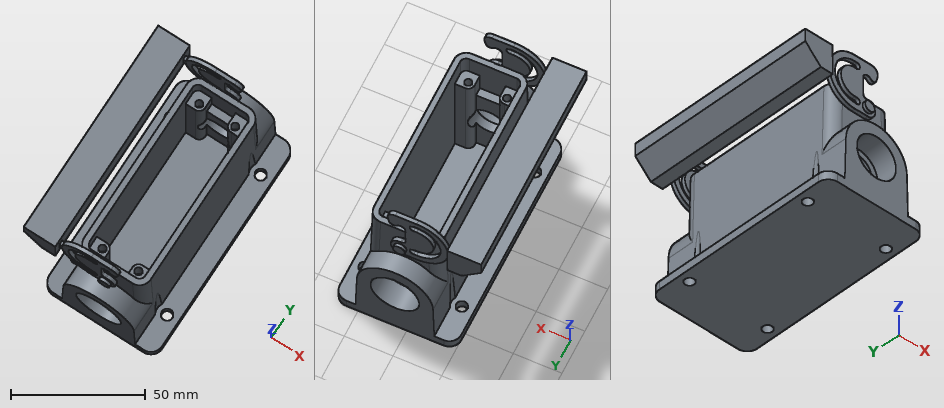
import cadquery as cq
import math

total_width = 59.5
total_height = 72.0
flange_width = 50.0
flange_length = 96.0
flange_height = 4.0
flange_corner_radius = 5.0
mount_hole_diameter = 4.6
mount_hole_x = 20.0
mount_hole_y = 32.0
washer_relief_radius = 4.4

housing_top = 57.0
housing_base_width = 32.4
housing_top_width = 29.5
housing_length = 80.0
housing_corner_radius = 5.0
wall = 2.5
cavity_corner_radius = housing_corner_radius - wall
cavity_width = housing_top_width - 2 * wall
cavity_length = housing_length - 2 * wall
cavity_floor = flange_height

entry_z = 23.2
entry_bore_diameter = 20.0
entry_bore_depth = 10.0
entry_hole_diameter = 14.0

post_x = 8.0
post_y = 33.0
post_radius = 2.7
post_top = 48.0
post_hole_diameter = 3.1
post_hole_depth = 10.0
ledge_face_y = 34.1

lever_radius = 13.0
lever_x = -6.5
lever_z = total_height - lever_radius
lever_plate_inner_y = 41.3
lever_plate_thickness = 1.8
eye_radius = 4.0
pivot_z = lever_z - lever_radius + eye_radius
lever_edge_x = -2.0
eye_fillet = 1.5
throat_radius = 2.0
throat_z = 63.8
lobe_radius = 1.8
lobe_angle = 40.0
nose_radius = 3.2
nose_x = 2.2
slot_outer_radius = 10.0
slot_inner_radius = 7.0
slot_end_x = lever_x + 1.2
tab_height = 4.0
pin_radius = 2.0
pin_head_radius = 2.5
pin_end_y = 44.5

grip_length = 92.0
grip_size = 14.0
grip_bevel = 8.0
grip_z = 60.0
grip_left = flange_width / 2 - total_width
grip_right = grip_left + grip_size

draft = math.atan2((housing_base_width - housing_top_width) / 2, housing_top - flange_height)
half_width_at_entry = housing_base_width / 2 - (entry_z - flange_height) * math.tan(draft)
entry_radius = half_width_at_entry * math.cos(draft)
ledge_top = entry_z + entry_radius


def on_circle(center, radius, degrees):
    """Point on a circle at an angle measured from the first axis."""
    angle = math.radians(degrees)
    return (center[0] + radius * math.cos(angle), center[1] + radius * math.sin(angle))


def extrude_along_y(outline, start_y, length):
    """Extrude a closed XZ outline from start_y toward +Y."""
    return outline.extrude(-length).translate((0, start_y, 0))


def both_ends(shape):
    """Join a shape with its mirror image across the XZ plane."""
    return shape.union(shape.mirror("XZ"))


def make_flange():
    return (
        cq.Workplane("XY")
        .rect(flange_width, flange_length)
        .extrude(flange_height)
        .edges("|Z")
        .fillet(flange_corner_radius)
    )


def make_housing():
    base = housing_base_width / 2
    top = housing_top_width / 2
    outline = (
        cq.Workplane("XZ")
        .moveTo(-base, flange_height)
        .lineTo(base, flange_height)
        .lineTo(top, housing_top)
        .lineTo(-top, housing_top)
        .close()
    )
    block = extrude_along_y(outline, -housing_length / 2, housing_length)
    return block.edges("not(|X or |Y)").fillet(housing_corner_radius)


def make_entry_block():
    """Arched block over the full length, its crown tangent to the drafted sides."""
    base = housing_base_width / 2
    side_degrees = math.degrees(draft)
    center = (0, entry_z)
    left_x, tangent_z = on_circle(center, entry_radius, 180 - side_degrees)
    outline = (
        cq.Workplane("XZ")
        .moveTo(-base, flange_height)
        .lineTo(left_x, tangent_z)
        .threePointArc((0, entry_z + entry_radius), (-left_x, tangent_z))
        .lineTo(base, flange_height)
        .close()
    )
    return extrude_along_y(outline, -flange_length / 2, flange_length)


def make_cavity():
    """Space inside the housing, leaving the corner posts and the end ledges standing."""
    cavity = (
        cq.Workplane("XY", origin=(0, 0, cavity_floor))
        .rect(cavity_width, cavity_length)
        .extrude(housing_top - cavity_floor)
        .edges("|Z")
        .fillet(cavity_corner_radius)
    )
    half_width = cavity_width / 2
    half_length = cavity_length / 2
    post_inner_x = post_x - post_radius
    post_inner_y = post_y - post_radius
    for side in (-1, 1):
        for end in (-1, 1):
            post = (
                cq.Workplane("XY", origin=(0, 0, cavity_floor))
                .moveTo(side * post_inner_x, end * half_length)
                .lineTo(side * post_inner_x, end * post_y)
                .lineTo(side * post_x, end * post_inner_y)
                .lineTo(side * half_width, end * post_inner_y)
                .lineTo(side * half_width, end * half_length)
                .close()
                .extrude(post_top - cavity_floor)
            )
            rounding = (
                cq.Workplane("XY", origin=(side * post_x, end * post_y, cavity_floor))
                .circle(post_radius)
                .extrude(post_top - cavity_floor)
            )
            cavity = cavity.cut(post.union(rounding))
    ledge = (
        cq.Workplane("XY", origin=(0, (ledge_face_y + half_length) / 2, cavity_floor))
        .rect(2 * post_inner_x, half_length - ledge_face_y)
        .extrude(ledge_top - cavity_floor)
    )
    return cavity.cut(both_ends(ledge))


def make_entry_bores():
    def cylinder(diameter, start_y, length):
        outline = cq.Workplane("XZ").center(0, entry_z).circle(diameter / 2)
        return extrude_along_y(outline, start_y, length)

    through = cylinder(entry_hole_diameter, -flange_length / 2, flange_length)
    counterbore = cylinder(entry_bore_diameter, -flange_length / 2, entry_bore_depth)
    return through.union(both_ends(counterbore))


def mount_hole_cylinders(radius, start_z, height):
    """Upright cylinders on the axes of the four mounting holes."""
    return (
        cq.Workplane("XY", origin=(0, 0, start_z))
        .rect(2 * mount_hole_x, 2 * mount_hole_y, forConstruction=True)
        .vertices()
        .circle(radius)
        .extrude(height)
    )


def make_post_holes():
    return (
        cq.Workplane("XY", origin=(0, 0, post_top - post_hole_depth))
        .rect(2 * post_x, 2 * post_y, forConstruction=True)
        .vertices()
        .circle(post_hole_diameter / 2)
        .extrude(post_hole_depth)
    )


def make_lever_plate():
    """Side plate on the +Y end: C-shaped body, hooked nose, eye and curved slot."""
    lever_center = (lever_x, lever_z)
    eye_center = (0, pivot_z)
    throat_center = (lever_edge_x + throat_radius, throat_z)
    lobe_center = on_circle(throat_center, throat_radius + lobe_radius, lobe_angle)
    nose_center = (nose_x, total_height - nose_radius)

    lobe_dx = lobe_center[0] - nose_center[0]
    lobe_dz = lobe_center[1] - nose_center[1]
    flank_spread = math.acos((nose_radius - lobe_radius) / math.hypot(lobe_dx, lobe_dz))
    flank_angle = math.degrees(math.atan2(lobe_dz, lobe_dx) + flank_spread)
    lobe_end_angle = lobe_angle - 180
    fillet_center = (lever_edge_x + eye_fillet, pivot_z + eye_radius + eye_fillet)

    outline = (
        cq.Workplane("XZ")
        .moveTo(*on_circle(lever_center, lever_radius, 90))
        .lineTo(*on_circle(nose_center, nose_radius, 90))
        .threePointArc(
            on_circle(nose_center, nose_radius, (90 + flank_angle) / 2),
            on_circle(nose_center, nose_radius, flank_angle),
        )
        .lineTo(*on_circle(lobe_center, lobe_radius, flank_angle))
        .threePointArc(
            on_circle(lobe_center, lobe_radius, (flank_angle + lobe_end_angle) / 2),
            on_circle(lobe_center, lobe_radius, lobe_end_angle),
        )
        .threePointArc(
            on_circle(throat_center, throat_radius, (lobe_angle + 180) / 2),
            on_circle(throat_center, throat_radius, 180),
        )
        .lineTo(*on_circle(fillet_center, eye_fillet, 180))
        .threePointArc(
            on_circle(fillet_center, eye_fillet, 225),
            on_circle(fillet_center, eye_fillet, 270),
        )
        .lineTo(*on_circle(eye_center, eye_radius, 90))
        .threePointArc(
            on_circle(eye_center, eye_radius, 0),
            on_circle(eye_center, eye_radius, -90),
        )
        .lineTo(*on_circle(lever_center, lever_radius, -90))
        .threePointArc(
            on_circle(lever_center, lever_radius, 180),
            on_circle(lever_center, lever_radius, 90),
        )
        .close()
    )
    plate = extrude_along_y(outline, lever_plate_inner_y, lever_plate_thickness)

    slot_mid_radius = (slot_outer_radius + slot_inner_radius) / 2
    slot_end_radius = (slot_outer_radius - slot_inner_radius) / 2
    slot_outline = (
        cq.Workplane("XZ")
        .moveTo(slot_end_x, lever_z + slot_outer_radius)
        .lineTo(*on_circle(lever_center, slot_outer_radius, 90))
        .threePointArc(
            on_circle(lever_center, slot_outer_radius, 180),
            on_circle(lever_center, slot_outer_radius, -90),
        )
        .lineTo(slot_end_x, lever_z - slot_outer_radius)
        .threePointArc(
            (slot_end_x + slot_end_radius, lever_z - slot_mid_radius),
            (slot_end_x, lever_z - slot_inner_radius),
        )
        .lineTo(*on_circle(lever_center, slot_inner_radius, -90))
        .threePointArc(
            on_circle(lever_center, slot_inner_radius, 180),
            on_circle(lever_center, slot_inner_radius, 90),
        )
        .lineTo(slot_end_x, lever_z + slot_inner_radius)
        .threePointArc(
            (slot_end_x + slot_end_radius, lever_z + slot_mid_radius),
            (slot_end_x, lever_z + slot_outer_radius),
        )
        .close()
    )
    slot = extrude_along_y(slot_outline, lever_plate_inner_y, lever_plate_thickness)

    tab_end = lever_x - (lever_radius + slot_outer_radius) / 2
    tab_outline = (
        cq.Workplane("XZ")
        .center((grip_right + tab_end) / 2, lever_z)
        .rect(tab_end - grip_right, tab_height)
    )
    tab = extrude_along_y(tab_outline, lever_plate_inner_y, lever_plate_thickness)
    return plate.cut(slot).union(tab)


def make_pivot_pin():
    """Headed pin on the +Y end, from inside the housing wall out past the lever plate."""
    shank_start = housing_length / 2 - wall / 2
    head_start = lever_plate_inner_y + lever_plate_thickness
    axis = cq.Workplane("XZ").center(0, pivot_z)
    shank = extrude_along_y(axis.circle(pin_radius), shank_start, head_start - shank_start)
    head = extrude_along_y(axis.circle(pin_head_radius), head_start, pin_end_y - head_start)
    return shank.union(head)


def make_grip():
    """Bar across both lever plates with its lower outer edge bevelled."""
    return (
        cq.Workplane("XY", origin=((grip_left + grip_right) / 2, 0, grip_z))
        .box(grip_size, grip_length, grip_size)
        .edges("<X and <Z")
        .chamfer(grip_bevel)
    )


body = make_housing().union(make_entry_block())
body = body.cut(mount_hole_cylinders(washer_relief_radius, flange_height, housing_top - flange_height))
body = body.union(make_flange())
body = body.cut(mount_hole_cylinders(mount_hole_diameter / 2, 0, flange_height))
body = body.cut(make_cavity()).cut(make_entry_bores()).cut(make_post_holes())

lever = both_ends(make_lever_plate().union(make_pivot_pin())).union(make_grip())
result = body.union(lever)